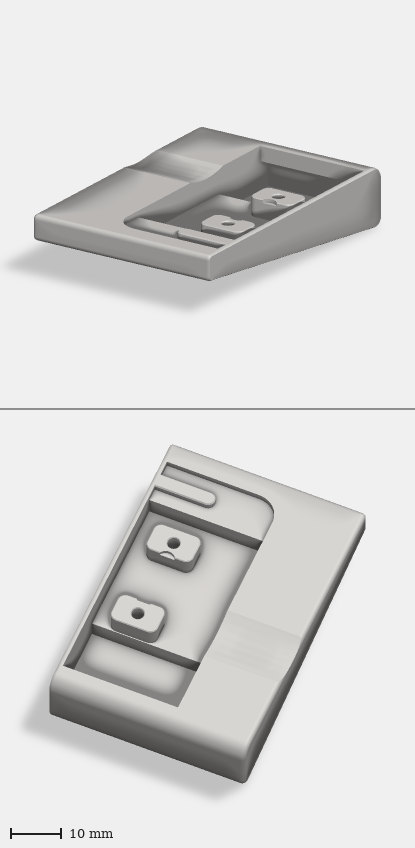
import cadquery as cq
import math

width = 42.1
length = 61.5
height = 12.7
bottom_angle = 7.0
edge_radius = 1.0
back_top_radius = 2.95
back_bottom_radius = 1.95
right_trim = 0.3

slope = math.tan(math.radians(bottom_angle))
front_bottom = (
    slope * (length - back_bottom_radius)
    - back_bottom_radius * (1 / math.cos(math.radians(bottom_angle)) - 1)
)

pocket_left = 16.35
pocket_right = width - 1.0
pocket_front = 4.6
pocket_back = 56.7
pocket_corner_radius = 4.9
ledge_level = 11.3
middle_start = 13.4
middle_level = 7.15
deep_start = 42.05
deep_level = 3.3

lip_thickness = 3.2
undercut_back = 59.55

boss_x = 32.8
boss_middle_y = 29.7
boss_spacing = 17.95
boss_size_x = 9.95
boss_size_y = 6.4
boss_corner_radius = 1.6
boss_top = 11.25
boss_chamfer = 0.2
hole_diameter = 2.5
counterbore_diameter = 5.5
counterbore_depth = 2.0
mouth_chamfer = 0.2
notch_radius = 1.85
notch_reach = 1.0
notch_depth = 0.75

rib_left = 28.8
rib_y = 9.2
rib_width = 3.0
rib_chamfer = 0.25

groove_y = 37.7
groove_width = 11.6
groove_depth = 0.9

recess_left = 17.4
recess_right = 24.65
recess_front = 12.65
recess_back = 47.5
recess_corner_radius = 1.95
recess_depth = 0.5


def bottom_at(y):
    """Height of the sloped underside at a given Y."""
    return front_bottom - slope * y


def box(x_range, y_range, z_range):
    """Box spanning the given ranges."""
    size = [end - start for start, end in (x_range, y_range, z_range)]
    corner = (x_range[0], y_range[0], z_range[0])
    return cq.Workplane("XY").box(*size, centered=False).translate(corner)


def make_body():
    """Wedge with rounded edges, trimmed flat on the right."""
    profile = [(0, bottom_at(0)), (length, bottom_at(length)), (length, height), (0, height)]
    wedge = cq.Workplane("YZ").polyline(profile).close().extrude(width + right_trim)
    wedge = wedge.edges("|X and >Y and >Z").fillet(back_top_radius)
    wedge = wedge.edges("|X and >Y and <Z").fillet(back_bottom_radius)
    wedge = wedge.edges("<X or >X or <Y").fillet(edge_radius)
    return wedge.intersect(box((0, width), (0, length), (0, height)))


def make_pocket():
    """Stepped pocket volume with the undercut below the back lip."""
    x_range = (pocket_left, pocket_right)
    pocket = box(x_range, (pocket_front, pocket_back), (ledge_level, height))
    pocket = pocket.edges("|Z and <X and <Y").fillet(pocket_corner_radius)
    pocket = pocket.union(box(x_range, (middle_start, pocket_back), (middle_level, height)))
    pocket = pocket.union(box(x_range, (deep_start, pocket_back), (deep_level, height)))
    return pocket.union(box(x_range, (deep_start, undercut_back), (deep_level, height - lip_thickness)))


def make_boss(y, inward):
    """Rounded boss with a shallow round notch on the side that faces the other boss."""
    boss = (
        cq.Workplane("XY", origin=(boss_x, y, middle_level))
        .rect(boss_size_x, boss_size_y)
        .extrude(boss_top - middle_level)
        .edges("|Z").fillet(boss_corner_radius)
        .faces(">Z").edges().chamfer(boss_chamfer)
    )
    notch_y = y + inward * (boss_size_y / 2 - notch_reach + notch_radius)
    notch = (
        cq.Workplane("XY", origin=(boss_x, notch_y, boss_top - notch_depth))
        .circle(notch_radius)
        .extrude(notch_depth)
    )
    return boss.cut(notch)


def make_mouth(level, y, radius):
    """Double cone that widens a vertical bore by the chamfer at the given level."""
    return (
        cq.Workplane("XZ", origin=(boss_x, y, level))
        .polyline([(0, -mouth_chamfer), (radius, -mouth_chamfer), (radius + mouth_chamfer, 0),
                   (radius, mouth_chamfer), (0, mouth_chamfer)])
        .close()
        .revolve(360, (0, 0, 0), (0, 1, 0))
    )


def make_screw_hole(y):
    """Through hole with a counterbore from the underside, both with chamfered mouths."""
    hole_radius = hole_diameter / 2
    bore_radius = counterbore_diameter / 2
    mouth_level = bottom_at(y)
    axis = cq.Workplane("XY", origin=(boss_x, y, 0))
    hole = axis.circle(hole_radius).extrude(height)
    hole = hole.union(make_mouth(boss_top, y, hole_radius))
    counterbore = axis.circle(bore_radius).extrude(mouth_level + counterbore_depth)
    mouth = make_mouth(0, y, bore_radius)
    mouth = mouth.rotate((boss_x, y, 0), (boss_x + 0.6, y, 0), -bottom_angle).translate((0, 0, mouth_level))
    return hole.union(counterbore).union(mouth)


def make_rib():
    """Rib with a round left end, running into the right wall flush with the top."""
    radius = rib_width / 2
    rib = (
        cq.Workplane("XY", origin=(0, rib_y, ledge_level))
        .moveTo(pocket_right, -radius)
        .lineTo(rib_left + radius, -radius)
        .threePointArc((rib_left, 0), (rib_left + radius, radius))
        .lineTo(pocket_right, radius)
        .close()
        .extrude(height - ledge_level)
    )
    return rib.faces(">Z").edges("not >X").chamfer(rib_chamfer)


def make_groove():
    """Segment of a circle that runs from the left side into the pocket."""
    half = groove_width / 2
    return (
        cq.Workplane("YZ", origin=(0, groove_y, height))
        .moveTo(-half, 0)
        .threePointArc((0, -groove_depth), (half, 0))
        .close()
        .extrude(boss_x)
    )


def make_recess():
    """Rounded rectangle sunk into the underside, with a ceiling parallel to it."""
    middle_y = (recess_front + recess_back) / 2
    long_side = (recess_back - recess_front) / math.cos(math.radians(bottom_angle))
    center = ((recess_left + recess_right) / 2, middle_y, bottom_at(middle_y))
    return (
        cq.Workplane("XY")
        .box(recess_right - recess_left, long_side, 2 * recess_depth)
        .edges("|Z").fillet(recess_corner_radius)
        .rotate((0, 0, 0), (1, 0, 0), -bottom_angle)
        .translate(center)
    )


result = make_body().cut(make_pocket()).cut(make_groove()).cut(make_recess()).union(make_rib())

for side in (-1, 1):
    boss_y = boss_middle_y + side * boss_spacing / 2
    result = result.union(make_boss(boss_y, -side)).cut(make_screw_hole(boss_y))